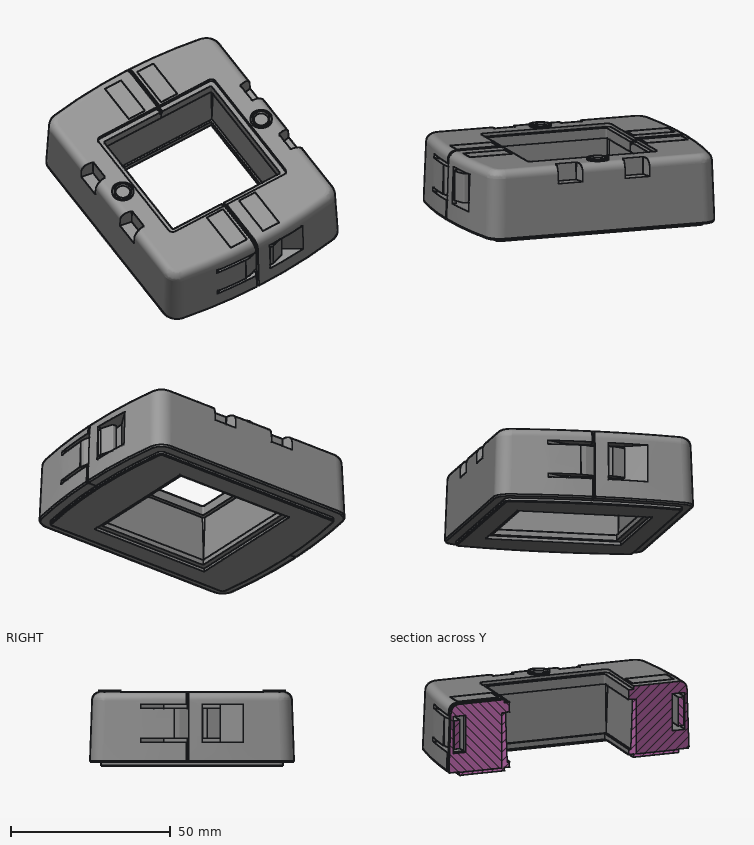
import cadquery as cq
import math

length = 80.95
width = 63.95
ring_top = 23.7

plate_height = 1.1
body_top = 23.2
body_height = body_top - plate_height

draft = 2.0
side_radius = 165.95
corner_radius = 5.0
top_fillet = 2.75
foot_chamfer_height = 0.6
foot_chamfer_inset = 0.4
draft_slope = math.tan(math.radians(draft))
foot_half_length = length / 2 + foot_chamfer_height * draft_slope
foot_half_width = width / 2 + foot_chamfer_height * draft_slope

window = 40.0
recess = 43.4
recess_depth = 1.05
recess_corner = 1.45
window_corner = 0.5
top_lip_height = 3.2

plate_inset = 3.5
plate_corner = corner_radius - plate_inset
plate_chamfer = 0.3
bottom_lip_height = 1.8
liner_setback = 0.7
liner_wall = 1.95
liner_inside = window + 2 * liner_setback
liner_outside = liner_inside + 2 * liner_wall
liner_top = body_top - recess_depth - top_lip_height

joint_offset = 1.45
groove_half_width = 0.4
front_groove_depth = 1.0
back_groove_depth = 0.65
groove_near = joint_offset - groove_half_width
groove_far = joint_offset + groove_half_width

pocket_bottom = 7.45
pocket_top = 19.3
pocket_floor_x = -34.9
pocket_half_floor = 8.9
pocket_half_mouth = 16.0
mouth_x = side_radius - length / 2 - math.sqrt(side_radius**2 - pocket_half_mouth**2)

bridge_end = -3.2
bridge_inner_x = -38.9

tongue_bottom = 8.7
tongue_top = 18.05
tongue_inner_x = -36.75
tongue_tip = -8.9
shoulder_start = 5.6
shoulder_x = -39.8
shoulder_end = 4.0
shoulder_end_x = -39.75
neck_start = 1.05
neck_x = -38.8
barb_start = -3.4
barb_end = -4.7
barb_x = -39.8
tip_x = -38.4
tip_fillet = 0.4

notch_offset = 11.2
notch_outer_width = 8.1
notch_inner_width = 6.55
notch_outer_y = 31.6
notch_inner_y = 27.5
notch_bottom = 17.7

ring_offset = 25.75
ring_diameter = 6.8
ring_bore_top = 5.5
ring_bore_bottom = 4.5

label_length = 13.85
label_width = 6.0
label_x = 29.5
label_y = 6.0
label_depth = 0.1

margin = 4.05


def block(x0, x1, y0, y1, z0, z1):
    return cq.Workplane("XY").box(x1 - x0, y1 - y0, z1 - z0, centered=False).translate((x0, y0, z0))


def square_block(side, z0, z1):
    return block(-side / 2, side / 2, -side / 2, side / 2, z0, z1)


def bowed_outline(half_length, half_width, bow, z):
    """Rectangle whose two short sides bow outward as arcs."""
    corner_x = half_length - bow + math.sqrt(bow**2 - half_width**2)
    return (
        cq.Workplane("XY", origin=(0, 0, z))
        .moveTo(-corner_x, -half_width)
        .lineTo(corner_x, -half_width)
        .threePointArc((half_length, 0), (corner_x, half_width))
        .lineTo(-corner_x, half_width)
        .threePointArc((-half_length, 0), (-corner_x, -half_width))
        .close()
    )


def casing_envelope(inset=0.0):
    """Drafted, rounded outer shape, shrunk inward by the inset."""
    wall_zone = cq.selectors.BoxSelector(
        (-length, -length, plate_height + margin), (length, length, body_top - margin)
    )
    return (
        bowed_outline(foot_half_length - inset, foot_half_width - inset, side_radius - inset, plate_height)
        .extrude(body_height - inset, taper=draft)
        .edges(wall_zone)
        .fillet(corner_radius - inset)
        .faces(">Z").edges().fillet(top_fillet - inset)
    )


def make_core():
    plate = (
        bowed_outline(length / 2 - plate_inset, width / 2 - plate_inset, side_radius - plate_inset, 0)
        .extrude(plate_height)
        .edges("|Z").fillet(plate_corner)
        .faces("<Z").edges().chamfer(plate_chamfer)
    )
    lip_top = recess_depth + bottom_lip_height
    return (
        plate
        .union(square_block(liner_outside, plate_height, liner_top))
        .cut(square_block(recess, 0, recess_depth))
        .cut(square_block(window, recess_depth, lip_top))
        .cut(
            cq.Workplane("XY", origin=(0, 0, lip_top))
            .rect(liner_inside, liner_inside)
            .extrude(liner_top - lip_top, taper=-draft)
        )
    )


def joint_groove(y0, y1, depth):
    """Skin of the casing between two Y planes on the -X side, also along the window recess."""
    remaining = casing_envelope(depth).cut(
        square_block(recess, body_top - recess_depth - depth, body_top)
    )
    return block(-length, 0, y0, y1, 0, ring_top).cut(remaining)


def half_region():
    """Space of the front half: past the middle on -X, short of it on +X."""
    return block(-length, 0, -width, joint_offset, 0, ring_top).union(
        block(0, length, -width, -joint_offset, 0, ring_top)
    )


def pocket_section(z):
    """Trapezoid whose ends meet the drafted casing surface at the same Y for every Z."""
    surface_x = mouth_x + draft_slope * (z - plate_height - foot_chamfer_height)
    slope = (pocket_half_mouth - pocket_half_floor) / (pocket_floor_x - surface_x)
    outer_x = -length / 2 - margin
    outer_y = pocket_half_mouth + slope * (surface_x - outer_x)
    return (
        cq.Workplane("XY", origin=(0, 0, z))
        .polyline([
            (outer_x, -outer_y),
            (pocket_floor_x, -pocket_half_floor),
            (pocket_floor_x, pocket_half_floor),
            (outer_x, outer_y),
        ])
        .close()
        .wire().val()
    )


def latch_pocket():
    """Pocket across the joint on the -X side, sloping up to the surface at both ends."""
    sections = [pocket_section(pocket_bottom), pocket_section(pocket_top)]
    return cq.Workplane(cq.Solid.makeLoft(sections, True))


def latch_tongue():
    """Barbed tongue of the back half, as on the -X side."""
    outer_x = -length / 2 - margin
    return (
        cq.Workplane("XY", origin=(0, 0, tongue_bottom))
        .polyline([
            (outer_x, pocket_half_mouth + margin),
            (outer_x, shoulder_start),
            (shoulder_x, shoulder_start),
            (shoulder_end_x, shoulder_end),
            (neck_x, neck_start),
            (neck_x, barb_start),
            (barb_x, barb_start),
            (barb_x, barb_end),
            (tip_x, tongue_tip),
            (tongue_inner_x, tongue_tip),
            (tongue_inner_x, pocket_half_mouth + margin),
        ])
        .close()
        .extrude(tongue_top - tongue_bottom)
        .edges("|Z").edges("<Y").fillet(tip_fillet)
    )


def notch(x):
    return (
        cq.Workplane("XY", origin=(x, 0, notch_bottom))
        .polyline([
            (-notch_inner_width / 2, -notch_inner_y),
            (notch_inner_width / 2, -notch_inner_y),
            (notch_outer_width / 2, -notch_outer_y),
            (notch_outer_width / 2, -notch_outer_y - margin),
            (-notch_outer_width / 2, -notch_outer_y - margin),
            (-notch_outer_width / 2, -notch_outer_y),
        ])
        .close()
        .extrude(body_top - notch_bottom, taper=-draft)
    )


def ring_boss():
    height = ring_top - body_top
    bore = cq.Solid.makeCone(ring_bore_bottom / 2, ring_bore_top / 2, height)
    ring = cq.Workplane("XY").circle(ring_diameter / 2).extrude(height).cut(cq.Workplane(bore))
    return ring.translate((0, -ring_offset, body_top))


def turned(shape, angle=180):
    """Shape turned about the Z axis; the two halves are alike under a half turn."""
    return shape.rotate((0, 0, 0), (0, 0, 1), angle)


def make_half_casing():
    """Front half: bridge and pocket on -X, latch tongue on +X."""
    envelope = casing_envelope()
    casing = envelope.faces("<Z").edges().chamfer(foot_chamfer_height, foot_chamfer_inset)
    half = (
        casing
        .intersect(half_region())
        .cut(square_block(liner_outside, 0, liner_top))
        .cut(square_block(window, 0, body_top).edges("|Z").fillet(window_corner))
        .cut(square_block(recess, body_top - recess_depth, body_top).edges("|Z").fillet(recess_corner))
        .cut(latch_pocket())
        .cut(turned(latch_pocket()))
    )
    half = half.cut(joint_groove(groove_near, joint_offset, front_groove_depth))
    half = half.cut(turned(joint_groove(joint_offset, groove_far, back_groove_depth)))
    bridge = block(-length, bridge_inner_x, bridge_end, groove_near, pocket_bottom, pocket_top)
    half = half.union(bridge.intersect(envelope))
    half = half.union(turned(latch_tongue()).intersect(envelope))
    for side in (-1, 1):
        half = half.cut(notch(side * notch_offset))
        label = cq.Workplane("XY").box(label_length, label_width, 2 * label_depth)
        half = half.cut(label.translate((side * label_x, -label_y, body_top)))
    return half.union(ring_boss())


core = make_core()
half_casing = make_half_casing()
half_casings = [turned(half_casing, angle).solids().val() for angle in (0, 180)]

result = cq.Compound.makeCompound([core.solids().val(), *half_casings])